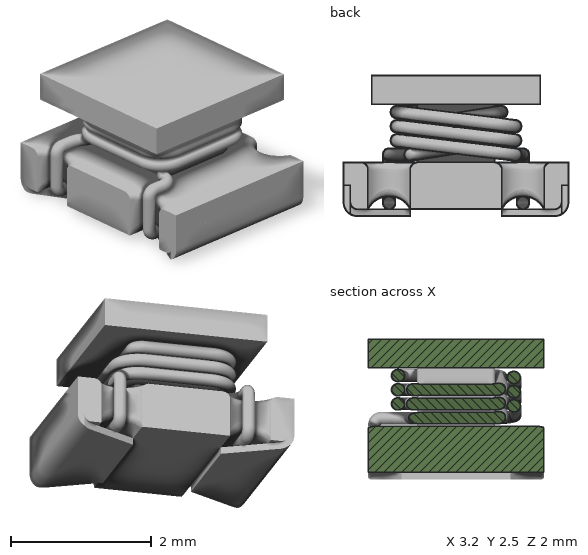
import cadquery as cq
import math

LENGTH = 3.2
DEPTH = 2.5
HEIGHT = 2.0

FLANGE_LENGTH = 2.4
FLANGE_THICKNESS = 0.41
BASE_TOP = 0.765
POST_SIDE = 1.107
POST_CORNER_RADIUS = 0.05

SHEET = 0.1
TERMINAL_TOP = 0.44
TERMINAL_BEND_RADIUS = 0.2
TERMINAL_FOOT_LENGTH = 0.95
FOOT_TAPER_ANGLE = 29.0

LEAD_X = 0.95
NOTCH_RADIUS = 0.335
NOTCH_DEPTH = 0.185
NOTCH_FILLET = 0.1

WIRE_RADIUS = 0.09
TURNS = 3
PITCH = 0.2
LAYER_STEP = 0.2
LEAD_BEND_RADIUS = 0.1
JOG_LENGTH = 0.4
TAIL_LENGTH = 0.4

POST_CORNER = POST_SIDE / 2 - POST_CORNER_RADIUS
FLANGE_BOTTOM = HEIGHT - FLANGE_THICKNESS
INNER_LAYER = POST_SIDE / 2 + WIRE_RADIUS
OUTER_LAYER = INNER_LAYER + LAYER_STEP
COIL_BOTTOM = (BASE_TOP + FLANGE_BOTTOM - TURNS * PITCH) / 2
COIL_TOP = COIL_BOTTOM + TURNS * PITCH
LEAD_Y = -DEPTH / 2 + WIRE_RADIUS
TAIL_Z = SHEET + WIRE_RADIUS


def lead_cylinder(side, plane, length):
    """Cylinder that cuts a notch or tunnel centred on one lead."""
    return cq.Workplane(plane).center(side * LEAD_X, 0).circle(NOTCH_RADIUS).extrude(length)


def terminal_envelope(side):
    """L-shaped sheet with a round bend, running the full depth of the part."""
    outer = LENGTH / 2
    inner = outer - SHEET
    bend = TERMINAL_BEND_RADIUS
    inner_bend = bend - SHEET
    foot_end = outer - TERMINAL_FOOT_LENGTH
    diagonal = math.sqrt(0.5)
    centre = outer - bend
    return (
        cq.Workplane("XZ", origin=(0, DEPTH / 2, 0))
        .moveTo(side * outer, TERMINAL_TOP)
        .lineTo(side * outer, bend)
        .threePointArc((side * (centre + bend * diagonal), bend * (1 - diagonal)), (side * centre, 0))
        .lineTo(side * foot_end, 0)
        .lineTo(side * foot_end, SHEET)
        .lineTo(side * centre, SHEET)
        .threePointArc(
            (side * (centre + inner_bend * diagonal), bend - inner_bend * diagonal), (side * inner, bend)
        )
        .lineTo(side * inner, TERMINAL_TOP)
        .close()
        .extrude(DEPTH)
    )


def make_terminal(side):
    """Terminal sheet whose foot narrows towards the middle of the part."""
    inner = LENGTH / 2 - SHEET
    foot_end = LENGTH / 2 - TERMINAL_FOOT_LENGTH
    end_half_depth = DEPTH / 2 - (inner - foot_end) * math.tan(math.radians(FOOT_TAPER_ANGLE))
    outline = (
        cq.Workplane("XY")
        .moveTo(side * foot_end, -end_half_depth)
        .lineTo(side * inner, -DEPTH / 2)
        .lineTo(side * LENGTH / 2, -DEPTH / 2)
        .lineTo(side * LENGTH / 2, DEPTH / 2)
        .lineTo(side * inner, DEPTH / 2)
        .lineTo(side * foot_end, end_half_depth)
        .close()
        .extrude(TERMINAL_TOP)
    )
    return terminal_envelope(side).intersect(outline)


def make_base():
    """Base block with seats for the terminals, lead notches and lead tunnels."""
    base = cq.Workplane("XY", origin=(0, 0, SHEET)).rect(LENGTH, DEPTH).extrude(BASE_TOP - SHEET)
    axis_offset = NOTCH_RADIUS - NOTCH_DEPTH
    for side in (-1, 1):
        terminal_seat = (
            cq.Workplane("XY")
            .box(SHEET, DEPTH, TERMINAL_TOP, centered=(True, True, False))
            .translate((side * (LENGTH - SHEET) / 2, 0, 0))
        )
        base = base.cut(terminal_seat)
        lower_edge = cq.selectors.NearestToPointSelector((side * (LENGTH / 2 - SHEET), 0, SHEET))
        base = base.edges(lower_edge).fillet(TERMINAL_BEND_RADIUS - SHEET)
        tunnel = lead_cylinder(side, "XZ", DEPTH).translate((0, DEPTH / 2, SHEET - axis_offset))
        base = base.cut(tunnel)
        for end in (-1, 1):
            notch = lead_cylinder(side, "XY", BASE_TOP).translate((0, end * (DEPTH / 2 + axis_offset), 0))
            base = base.cut(notch)

    for side in (-1, 1):
        for end in (-1, 1):
            back_wall = end * (DEPTH / 2 - NOTCH_DEPTH)
            for z in (BASE_TOP, SHEET + NOTCH_DEPTH):
                rim = cq.selectors.NearestToPointSelector((side * LEAD_X, back_wall, z))
                base = base.edges(rim).fillet(NOTCH_FILLET)
    return base


def make_core():
    """One-piece drum core: base, square post and top flange."""
    post = (
        cq.Workplane("XY", origin=(0, 0, BASE_TOP))
        .rect(POST_SIDE, POST_SIDE)
        .extrude(FLANGE_BOTTOM - BASE_TOP)
        .edges("|Z")
        .fillet(POST_CORNER_RADIUS)
    )
    flange = (
        cq.Workplane("XY", origin=(0, 0, FLANGE_BOTTOM))
        .rect(FLANGE_LENGTH, DEPTH)
        .extrude(FLANGE_THICKNESS)
    )
    return make_base().union(post).union(flange)


def add_line(path, point):
    """Straight run from the end of the path."""
    path.append(cq.Edge.makeLine(path[-1].endPoint(), cq.Vector(*point)))


def add_arc(path, point):
    """Arc that leaves the end of the path smoothly."""
    path.append(cq.Edge.makeTangentArc(path[-1].endPoint(), path[-1].tangentAt(1), cq.Vector(*point)))


def add_jog(path, start, end):
    """S-bend of two equal arcs between parallel runs."""
    middle = [(a + b) / 2 for a, b in zip(start, end)]
    add_arc(path, middle)
    add_arc(path, end)


def add_back_run(path, layer, z_left, z_right):
    """Run from the left side round the back to the right side, on a slope."""
    radius = layer - POST_CORNER
    slope = math.atan2(z_right - z_left, 2 * layer)
    run_in = radius * math.cos(slope)
    rise_in = radius * math.sin(slope)
    add_arc(path, (-layer + run_in, layer, z_left + rise_in))
    add_line(path, (layer - run_in, layer, z_right - rise_in))
    add_arc(path, (layer, POST_CORNER, z_right))


def add_front_run(path, layer, left_layer, z):
    """Level run down the right side, across the front and up the left side."""
    left_radius = left_layer - POST_CORNER
    add_line(path, (layer, -POST_CORNER, z))
    add_arc(path, (POST_CORNER, -layer, z))
    add_line(path, (-POST_CORNER, -layer, z))
    add_arc(path, (-left_layer, left_radius - layer, z))
    add_line(path, (-left_layer, POST_CORNER, z))


def make_coil():
    """One wire: left lead, outer layer going up, inner layer coming down, right lead."""
    bend = LEAD_BEND_RADIUS
    tail_start_y = LEAD_Y + bend
    jog_end_y = -POST_CORNER - JOG_LENGTH

    tail_end = cq.Vector(-LEAD_X, tail_start_y + TAIL_LENGTH, TAIL_Z)
    path = [cq.Edge.makeLine(tail_end, cq.Vector(-LEAD_X, tail_start_y, TAIL_Z))]
    add_arc(path, (-LEAD_X, LEAD_Y, TAIL_Z + bend))
    add_line(path, (-LEAD_X, LEAD_Y, COIL_BOTTOM - bend))
    add_arc(path, (-LEAD_X, LEAD_Y + bend, COIL_BOTTOM))
    add_line(path, (-LEAD_X, jog_end_y, COIL_BOTTOM))
    add_jog(path, (-LEAD_X, jog_end_y, COIL_BOTTOM), (-OUTER_LAYER, -POST_CORNER, COIL_BOTTOM))
    add_line(path, (-OUTER_LAYER, POST_CORNER, COIL_BOTTOM))

    for turn in range(TURNS):
        z = COIL_BOTTOM + turn * PITCH
        add_back_run(path, OUTER_LAYER, z, z + PITCH)
        left_layer = INNER_LAYER if turn == TURNS - 1 else OUTER_LAYER
        add_front_run(path, OUTER_LAYER, left_layer, z + PITCH)

    for turn in range(TURNS):
        z = COIL_TOP - turn * PITCH
        add_back_run(path, INNER_LAYER, z, z - PITCH)
        if turn < TURNS - 1:
            add_front_run(path, INNER_LAYER, INNER_LAYER, z - PITCH)

    add_line(path, (INNER_LAYER, -POST_CORNER, COIL_BOTTOM))
    add_jog(path, (INNER_LAYER, -POST_CORNER, COIL_BOTTOM), (LEAD_X, jog_end_y, COIL_BOTTOM))
    add_line(path, (LEAD_X, LEAD_Y + bend, COIL_BOTTOM))
    add_arc(path, (LEAD_X, LEAD_Y, COIL_BOTTOM - bend))
    add_line(path, (LEAD_X, LEAD_Y, TAIL_Z + bend))
    add_arc(path, (LEAD_X, tail_start_y, TAIL_Z))
    add_line(path, (LEAD_X, tail_start_y + TAIL_LENGTH, TAIL_Z))

    centreline = cq.Workplane(obj=cq.Wire.assembleEdges(path))
    return cq.Workplane("XZ", origin=tail_end.toTuple()).circle(WIRE_RADIUS).sweep(centreline)


core = make_core()
coil = make_coil()
terminals = [make_terminal(side) for side in (-1, 1)]

result = cq.Compound.makeCompound([core.val(), coil.val(), *[terminal.val() for terminal in terminals]])